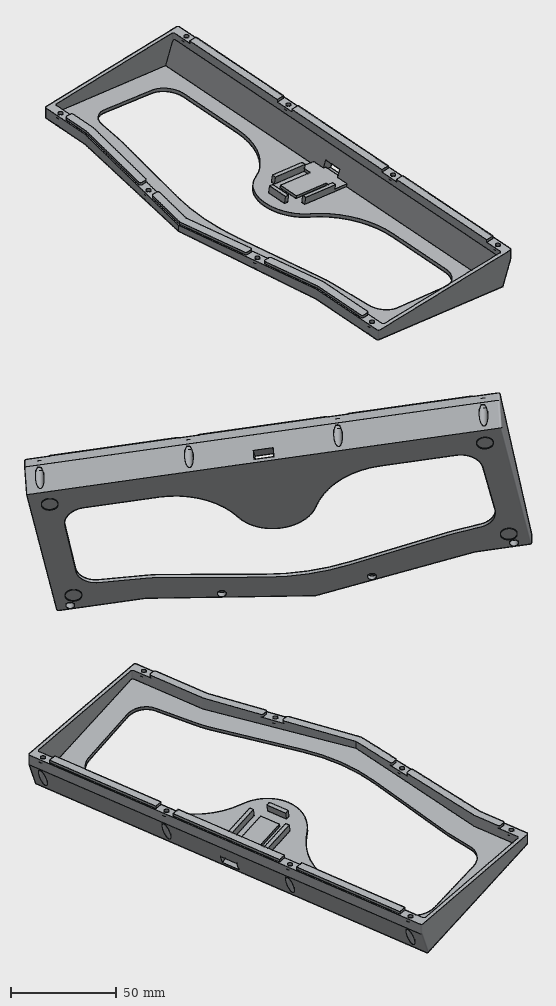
import cadquery as cq
import math

length = 229.84
depth = 102.27
tab_height = 1.5
body_height = 22.02 - tab_height
half_length = length / 2

front_y = -87.7
tip_x = -7.6
knee_offset = 79.6
v_angle = math.atan((depth + front_y) / knee_offset)

floor_angle = 9.8
rear_angle = 20
rear_band_height = 5.8
inner_band_height = 3.8
floor_slope = math.tan(math.radians(floor_angle))
rear_slope = math.tan(math.radians(rear_angle))
heel_y = -(body_height - rear_band_height) * rear_slope

floor_thickness = 2.0
side_wall = 2.0
rim_wall = 5.0
edge_radius = 1.0

screw_x = (-106.6, -36.3, 35.8, 107.9)
screw_inset = 2.45
screw_diameter = 2.4
screw_head_diameter = 4.2
screw_seat_thickness = 2.0

tab_screw_gap = 5.0
tab_inset = 0.8
tab_corner_radius = 1.0

foot_diameter = 8.0
foot_recess = 0.5
foot_x = 105.2
foot_rows = (-14.0, -78.5)

window_top_y = -19.5
window_corners = [
    (-101.0, window_top_y, 11.0),
    (-101.8, -69.5, 10.0),
    (-78.0, -73.0, 60.0),
    (tip_x + 1.0, -88.5, 100.0),
    (65.0, -73.9, 60.0),
    (101.3, -71.4, 10.0),
    (100.6, window_top_y, 11.0),
]

tongue_end_y = -52.4
tongue_tip_radius = 21.0
tongue_half_base = 53.5

holder_half_width = 11.5
holder_back_y = -8.3
step_y = -17.8
bed_half_width = 5.5
bed_front_y = -37.4
bed_height = 1.5
rail_width = 2.1
rail_height = 4.0
stop_back_y = -42.9
stop_front_y = -45.0
stop_height = 4.0

port_width = 9.6
port_height = 5.0
port_reach = 12.0


def underside_z(y):
    """Height of the tilted underside at a given y."""
    return -body_height + (heel_y - y) * floor_slope


floor_rise = floor_thickness / math.cos(math.radians(floor_angle))
floor_plane = cq.Plane(
    origin=(0, 0, underside_z(0) + floor_rise),
    xDir=(1, 0, 0),
    normal=(0, math.sin(math.radians(floor_angle)), math.cos(math.radians(floor_angle))),
)


def along_floor(y):
    """Distance along the floor plane that corresponds to a plan y."""
    return y / math.cos(math.radians(floor_angle))


def plan_points(side, rear, front):
    """Plan outline moved inward by the given side, rear and front distances."""
    left_x = -half_length + side
    right_x = half_length - side
    knee_shift = front * math.tan(v_angle / 2)
    return [
        (left_x, -rear),
        (right_x, -rear),
        (right_x, front_y + front),
        (tip_x + knee_offset - knee_shift, front_y + front),
        (tip_x, -depth + front / math.cos(v_angle)),
        (tip_x - knee_offset + knee_shift, front_y + front),
        (left_x, front_y + front),
    ]


def front_edge_y(x):
    """Plan y of the outer front edge at a given x."""
    v_depth = (knee_offset - abs(x - tip_x)) * math.tan(v_angle)
    return front_y - max(0, v_depth)


def side_prism(points):
    """Side profile of (y, z) points extruded over the whole length."""
    return cq.Workplane("YZ").polyline(points).close().extrude(half_length, both=True)


def make_body():
    plan = cq.Workplane("XY").polyline(plan_points(0, 0, 0)).close().extrude(-body_height)
    profile = side_prism([
        (0, 0),
        (0, -rear_band_height),
        (heel_y, -body_height),
        (-depth, underside_z(-depth)),
        (-depth, 0),
    ])
    body = plan.intersect(profile)
    return body.faces("<X or >X").edges("not >Z").fillet(edge_radius)


def make_cavity():
    plan = (
        cq.Workplane("XY")
        .polyline(plan_points(side_wall, rim_wall, rim_wall)).close()
        .extrude(-body_height)
        .edges("|Z and (<X or >X)").fillet(edge_radius)
    )
    floor_at_wall = underside_z(-rim_wall) + floor_rise
    fold_drop = (-inner_band_height - floor_at_wall) / (1 + floor_slope * rear_slope)
    fold_y = -rim_wall - fold_drop * rear_slope
    profile = side_prism([
        (-rim_wall, 0),
        (-rim_wall, -inner_band_height),
        (fold_y, underside_z(fold_y) + floor_rise),
        (-depth, underside_z(-depth) + floor_rise),
        (-depth, 0),
    ])
    return plan.intersect(profile)


def rounded_outline(plane, corners):
    """Closed outline through (x, y, radius) corners, each rounded by a tangent arc."""
    arcs = []
    for i, (x, y, radius) in enumerate(corners):
        corner = cq.Vector(x, y)
        to_previous = (cq.Vector(*corners[i - 1][:2]) - corner).normalized()
        to_next = (cq.Vector(*corners[(i + 1) % len(corners)][:2]) - corner).normalized()
        half_angle = to_previous.getAngle(to_next) / 2
        setback = radius / math.tan(half_angle)
        bisector = (to_previous + to_next).normalized()
        middle = corner + bisector * (radius / math.sin(half_angle) - radius)
        arcs.append((corner + to_previous * setback, middle, corner + to_next * setback))
    last_end = arcs[-1][2]
    outline = cq.Workplane(plane).moveTo(last_end.x, last_end.y)
    for start, middle, end in arcs:
        outline = outline.lineTo(start.x, start.y)
        outline = outline.threePointArc((middle.x, middle.y), (end.x, end.y))
    return outline.close()


def make_tongue():
    top = along_floor(window_top_y)
    end = along_floor(tongue_end_y)
    reach = top - end
    radius_sum = (tongue_half_base ** 2 + reach ** 2) / (2 * reach)
    shoulder_radius = radius_sum - tongue_tip_radius
    sweep = math.asin(tongue_half_base / radius_sum)

    def tip_point(angle):
        drop = tongue_tip_radius * (1 - math.cos(angle))
        return (tongue_tip_radius * math.sin(angle), end + drop)

    def shoulder_point(angle):
        drop = shoulder_radius * (1 - math.cos(angle))
        return (tongue_half_base - shoulder_radius * math.sin(angle), top - drop)

    def mirrored(point):
        return (-point[0], point[1])

    return (
        cq.Workplane(floor_plane)
        .moveTo(*mirrored(shoulder_point(0)))
        .threePointArc(mirrored(shoulder_point(sweep / 2)), mirrored(tip_point(sweep)))
        .threePointArc(tip_point(0), tip_point(sweep))
        .threePointArc(shoulder_point(sweep / 2), shoulder_point(0))
        .close()
        .extrude(2 * floor_thickness, both=True)
    )


def make_window():
    corners = [(x, along_floor(y), radius) for x, y, radius in window_corners]
    opening = rounded_outline(floor_plane, corners).extrude(2 * floor_thickness, both=True)
    return opening.cut(make_tongue())


def screw_centres():
    rear = [(x, -screw_inset) for x in screw_x]
    front = []
    for x in screw_x:
        on_v = abs(x - tip_x) < knee_offset
        inset = screw_inset / math.cos(v_angle) if on_v else screw_inset
        front.append((x, front_edge_y(x) + inset))
    return rear + front


def make_screw_holes():
    centres = screw_centres()
    shanks = (
        cq.Workplane("XY")
        .pushPoints(centres).circle(screw_diameter / 2).extrude(-body_height)
    )
    heads = (
        cq.Workplane("XY", origin=(0, 0, -screw_seat_thickness))
        .pushPoints(centres).circle(screw_head_diameter / 2).extrude(-body_height)
    )
    return shanks.union(heads)


def make_tabs():
    """Raised strips on both rims, interrupted around every screw; front ones have round corners."""
    rim = (
        cq.Workplane("XY")
        .polyline(plan_points(0, tab_inset, tab_inset)).close()
        .polyline(plan_points(side_wall, rim_wall, rim_wall)).close()
        .extrude(tab_height)
    )
    tabs = cq.Workplane("XY")
    for left_screw, right_screw in zip(screw_x, screw_x[1:]):
        span = right_screw - left_screw - 2 * tab_screw_gap
        block = (
            cq.Workplane("XY")
            .center((left_screw + right_screw) / 2, -depth / 2)
            .rect(span, depth).extrude(tab_height)
        )
        pair = rim.intersect(block)
        front_tab = pair.solids("<Y").edges("|Z and (<X or >X)").fillet(tab_corner_radius)
        tabs = tabs.union(pair.solids(">Y")).union(front_tab)
    return tabs


def floor_block(x_min, x_max, y_front, y_back, height):
    """Block standing square on the tilted floor and sunk slightly into it."""
    sunk = floor_thickness / 2
    return (
        cq.Workplane(floor_plane)
        .workplane(offset=-sunk)
        .center((x_min + x_max) / 2, along_floor(y_front + y_back) / 2)
        .rect(x_max - x_min, along_floor(y_back - y_front))
        .extrude(sunk + height)
    )


def make_holder():
    rail_inner = holder_half_width - rail_width
    pad = floor_block(-holder_half_width, holder_half_width, step_y, holder_back_y, bed_height)
    bed = floor_block(-bed_half_width, bed_half_width, bed_front_y, step_y, bed_height)
    left_rail = floor_block(-holder_half_width, -rail_inner, bed_front_y, step_y, rail_height)
    right_rail = floor_block(rail_inner, holder_half_width, bed_front_y, step_y, rail_height)
    stop = floor_block(-bed_half_width, bed_half_width, stop_front_y, stop_back_y, stop_height)
    return pad.union(bed).union(left_rail).union(right_rail).union(stop)


def make_port():
    return (
        cq.Workplane("XY")
        .box(port_width, 2 * port_reach, port_height, centered=(True, True, False))
        .rotate((0, 0, 0), (1, 0, 0), -rear_angle)
        .translate((0, heel_y, -body_height + floor_rise))
    )


def make_foot_recesses():
    centres = [(x, along_floor(y)) for x in (-foot_x, foot_x) for y in foot_rows]
    return (
        cq.Workplane(floor_plane)
        .workplane(offset=-floor_thickness)
        .pushPoints(centres).circle(foot_diameter / 2).extrude(foot_recess)
    )


result = (
    make_body()
    .cut(make_cavity())
    .cut(make_port())
    .union(make_holder())
    .cut(make_window())
    .union(make_tabs())
    .cut(make_screw_holes())
    .cut(make_foot_recesses())
)